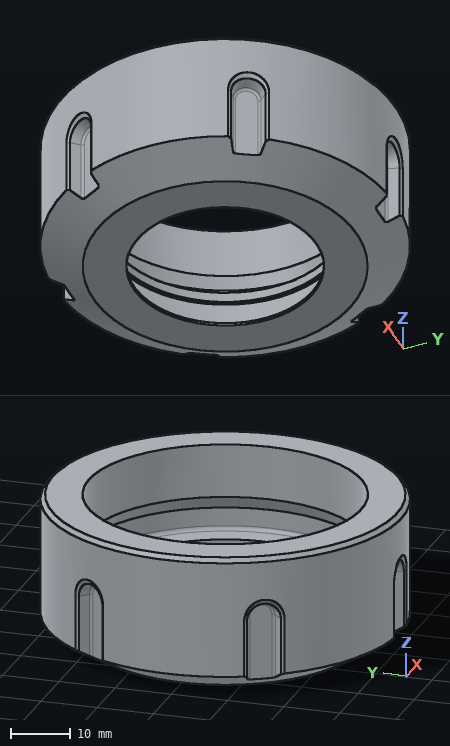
import cadquery as cq
import math

outer_radius = 62.7 / 2
height = 25.5
top_chamfer = 0.8
base_radius = 24.15
base_cone_angle = 30.0
base_cone_height = (outer_radius - base_radius) * math.tan(math.radians(base_cone_angle))

entry_radius = 48.38 / 2
relief_radius = 50.5 / 2
seat_radius = 41.0 / 2
exit_radius = 33.5 / 2
entry_depth = 9.5
relief_taper_height = 2.3
relief_floor_depth = 15.8
relief_fillet = 0.7
seat_lip_depth = 17.72
seat_undercut = 0.2
seat_cone_angle = 30.0
exit_land = 0.5
entry_bottom = height - entry_depth
relief_floor = height - relief_floor_depth
seat_lip_bottom = height - seat_lip_depth
seat_undercut_radius = seat_radius + seat_undercut
seat_cone_top = exit_land + (seat_undercut_radius - exit_radius) / math.tan(math.radians(seat_cone_angle))

slot_count = 6
slot_first_angle = 30.0
slot_floor_radius = 28.55
slot_floor_half_width = 1.92
slot_floor_fillet = 0.5
slot_draft = 16.0
slot_wall_half_width = 2.95
slot_rim_angle = 60.0
slot_arch_height = 14.0
slot_clearance = 1.0


def make_body():
    """Solid of revolution: chamfered top, conical bottom and stepped bore."""
    profile = (
        cq.Workplane("XZ")
        .moveTo(exit_radius, 0)
        .lineTo(base_radius, 0)
        .lineTo(outer_radius, base_cone_height)
        .lineTo(outer_radius, height - top_chamfer)
        .lineTo(outer_radius - top_chamfer, height)
        .lineTo(entry_radius, height)
        .lineTo(entry_radius, entry_bottom)
        .lineTo(relief_radius, entry_bottom - relief_taper_height)
        .lineTo(relief_radius, relief_floor + relief_fillet)
        .radiusArc((relief_radius - relief_fillet, relief_floor), relief_fillet)
        .lineTo(seat_radius, relief_floor)
        .lineTo(seat_radius, seat_lip_bottom)
        .lineTo(seat_undercut_radius, seat_lip_bottom)
        .lineTo(seat_undercut_radius, seat_cone_top)
        .lineTo(exit_radius, exit_land)
        .close()
    )
    return profile.revolve(360, (0, 0, 0), (0, 1, 0))


def slot_half_outline(plane):
    """Right half of the slot section: half width sideways, ring radius upward."""
    draft = math.radians(slot_draft)
    fillet_end_width = slot_floor_half_width + slot_floor_fillet * math.cos(draft)
    fillet_end_radius = slot_floor_radius + slot_floor_fillet * (1 - math.sin(draft))
    wall_end_radius = fillet_end_radius + (slot_wall_half_width - fillet_end_width) / math.tan(draft)
    cutter_radius = outer_radius + slot_clearance
    rim_depth = cutter_radius - wall_end_radius
    rim_half_width = slot_wall_half_width + rim_depth * math.tan(math.radians(slot_rim_angle))
    return (
        cq.Workplane(plane)
        .moveTo(0, slot_floor_radius)
        .lineTo(slot_floor_half_width, slot_floor_radius)
        .radiusArc((fillet_end_width, fillet_end_radius), -slot_floor_fillet)
        .lineTo(slot_wall_half_width, wall_end_radius)
        .lineTo(rim_half_width, cutter_radius)
        .lineTo(0, cutter_radius)
        .close()
    )


def make_slot_cutter():
    """Slot on the +X side: round arch on top of a straight run open at the bottom."""
    plane = cq.Plane(origin=(0, 0, slot_arch_height), xDir=(0, 1, 0), normal=(0, 0, -1))
    arch = slot_half_outline(plane).revolve(360, (0, 0, 0), (0, 1, 0))
    half_run = slot_half_outline(plane).extrude(slot_arch_height + slot_clearance)
    return arch.union(half_run).union(half_run.mirror("XZ"))


def cut_slots(body):
    """Cut the evenly spaced slots around the ring."""
    cutter = make_slot_cutter()
    for index in range(slot_count):
        angle = slot_first_angle + index * 360 / slot_count
        body = body.cut(cutter.rotate((0, 0, 0), (0, 0, 1), angle))
    return body


result = cut_slots(make_body())